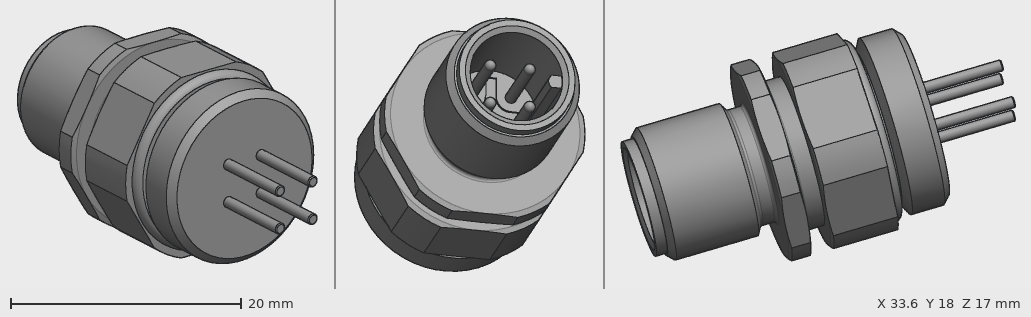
import cadquery as cq
import math

TOTAL_LENGTH = 33.6
TIP_END = 0.95
THREAD_CREST_START = 1.55
THREAD_CREST_END = 9.05
NUT_START = 11.0
NUT_END = 13.0
BODY_HEX_START = 14.8
BODY_HEX_END = 20.8
SEAL_END = 21.55
FLANGE_START = 21.8
FLANGE_CREST_START = 22.4
FLANGE_CREST_END = 25.35
FLANGE_END = 26.0

TIP_D = 10.4
THREAD_LEAD_D = 10.8
THREAD_D = 12.0
NECK_D = 10.5
SHAFT_D = 13.5
SEAL_D = 16.6
SEAL_END_D = 15.4
SEAL_ROUND = 0.9
FLANGE_FRONT_D = 13.8
FLANGE_D = 16.0
FLANGE_REAR_D = 14.65
RELIEF_FILLET = 0.3
THREAD_RUNOUT_ANGLE = math.pi / 3

HEX_ACROSS_FLATS = 17.0
HEX_CORNER_D = 18.0
HEX_CHAMFER = 0.15

BORE_D = 8.3
BORE_LEAD_IN = 0.5
BORE_LEAD_IN_DEPTH = BORE_LEAD_IN * math.tan(math.pi / 6)
BORE_DEPTH = 9.0

KEY_WIDTH = 1.15
KEY_INNER_RADIUS = 2.95
KEY_SHOULDER_RADIUS = 3.2
KEY_START = 0.5

CROSS_ARM_LENGTH = 3.5
CROSS_ARM_WIDTH = 0.95
CROSS_DEPTH = 0.2

PIN_D = 1.0
PIN_OFFSET = 2.5 / math.sqrt(2)
PIN_POSITIONS = [(y, z) for y in (-PIN_OFFSET, PIN_OFFSET) for z in (-PIN_OFFSET, PIN_OFFSET)]
PIN_TIP = 2.0
PIN_TAIL_CHAMFER = 0.1


def along_x(start):
    """Workplane normal to X at the given station; local x is +Y, local y is +Z."""
    return cq.Workplane("YZ", origin=(start, 0, 0))


def cylinder(diameter, start, end):
    return along_x(start).circle(diameter / 2).extrude(end - start)


def turned_body():
    """Solid of revolution about X: tip, thread, neck, shaft, seal and flange."""
    neck_r = NECK_D / 2
    shaft_r = SHAFT_D / 2
    runout_r = neck_r + RELIEF_FILLET * (1 - math.cos(THREAD_RUNOUT_ANGLE))
    runout_end = THREAD_CREST_END + (THREAD_D / 2 - runout_r) / math.tan(THREAD_RUNOUT_ANGLE)
    neck_start = runout_end + RELIEF_FILLET * math.sin(THREAD_RUNOUT_ANGLE)
    profile = (
        cq.Workplane("XY")
        .moveTo(0, 0)
        .lineTo(0, TIP_D / 2)
        .lineTo(TIP_END, TIP_D / 2)
        .lineTo(TIP_END, THREAD_LEAD_D / 2)
        .lineTo(THREAD_CREST_START, THREAD_D / 2)
        .lineTo(THREAD_CREST_END, THREAD_D / 2)
        .lineTo(runout_end, runout_r)
        .radiusArc((neck_start, neck_r), -RELIEF_FILLET)
        .lineTo(NUT_START - RELIEF_FILLET, neck_r)
        .radiusArc((NUT_START, neck_r + RELIEF_FILLET), -RELIEF_FILLET)
        .lineTo(NUT_END, neck_r + RELIEF_FILLET)
        .lineTo(NUT_END, shaft_r + RELIEF_FILLET)
        .radiusArc((NUT_END + RELIEF_FILLET, shaft_r), -RELIEF_FILLET)
        .lineTo(BODY_HEX_END, shaft_r)
        .lineTo(BODY_HEX_END, SEAL_D / 2)
        .radiusArc((SEAL_END, SEAL_END_D / 2), SEAL_ROUND)
        .lineTo(SEAL_END, shaft_r)
        .lineTo(FLANGE_START, shaft_r)
        .lineTo(FLANGE_START, FLANGE_FRONT_D / 2)
        .lineTo(FLANGE_CREST_START, FLANGE_D / 2)
        .lineTo(FLANGE_CREST_END, FLANGE_D / 2)
        .lineTo(FLANGE_END, FLANGE_REAR_D / 2)
        .lineTo(FLANGE_END, 0)
        .close()
    )
    return profile.revolve(360, (0, 0, 0), (1, 0, 0))


def hexagon(start, end, chamfered_ends):
    """Hexagonal prism with turned-down corners, chamfered on the selected ends."""
    prism = along_x(start).polygon(6, HEX_ACROSS_FLATS / math.cos(math.pi / 6)).extrude(end - start)
    corners = cylinder(HEX_CORNER_D, start, end)
    corner_depth = (HEX_CORNER_D - HEX_ACROSS_FLATS) / 2
    for end_selector in chamfered_ends:
        corners = corners.faces(end_selector).chamfer(HEX_CHAMFER, corner_depth)
    return prism.intersect(corners)


def socket():
    """Blind bore with a conical lead-in at the mating face."""
    bore = cylinder(BORE_D, 0, BORE_DEPTH)
    lead_in = (
        along_x(0)
        .circle(BORE_D / 2 + BORE_LEAD_IN)
        .workplane(offset=BORE_LEAD_IN_DEPTH)
        .circle(BORE_D / 2)
        .loft()
    )
    return bore.union(lead_in)


def key_rib():
    """Rib along the -Y wall of the bore with a rounded inner edge."""
    half_width = KEY_WIDTH / 2
    wall_y = -(BORE_D + TIP_D) / 4
    return (
        along_x(KEY_START)
        .moveTo(wall_y, -half_width)
        .lineTo(-KEY_SHOULDER_RADIUS, -half_width)
        .threePointArc((-KEY_INNER_RADIUS, 0), (-KEY_SHOULDER_RADIUS, half_width))
        .lineTo(wall_y, half_width)
        .close()
        .extrude(BORE_DEPTH - KEY_START)
    )


def cross_recess():
    """Cross with its inner corners filled out to arcs concentric with the pins."""
    plane = along_x(BORE_DEPTH)
    arms = plane.rect(2 * CROSS_ARM_LENGTH, CROSS_ARM_WIDTH).extrude(CROSS_DEPTH)
    arms = arms.union(plane.rect(CROSS_ARM_WIDTH, 2 * CROSS_ARM_LENGTH).extrude(CROSS_DEPTH))
    centre = plane.rect(2 * PIN_OFFSET, 2 * PIN_OFFSET).extrude(CROSS_DEPTH)
    pin_lands = (
        plane.pushPoints(PIN_POSITIONS)
        .circle(PIN_OFFSET - CROSS_ARM_WIDTH / 2)
        .extrude(CROSS_DEPTH)
    )
    return arms.union(centre.cut(pin_lands))


def contact_pin(y, z):
    """Pin running from a domed mating tip to a solder tail behind the flange."""
    dome_base = PIN_TIP + PIN_D / 2
    shank = cylinder(PIN_D, dome_base, TOTAL_LENGTH).faces(">X").edges().chamfer(PIN_TAIL_CHAMFER)
    pin = shank.union(along_x(dome_base).sphere(PIN_D / 2))
    return pin.translate((0, y, z))


result = turned_body()
result = result.union(hexagon(NUT_START, NUT_END, ("<X", ">X")))
result = result.union(hexagon(BODY_HEX_START, BODY_HEX_END, ("<X",)))
result = result.cut(socket())
result = result.union(key_rib())
result = result.cut(cross_recess())
for pin_y, pin_z in PIN_POSITIONS:
    result = result.union(contact_pin(pin_y, pin_z))